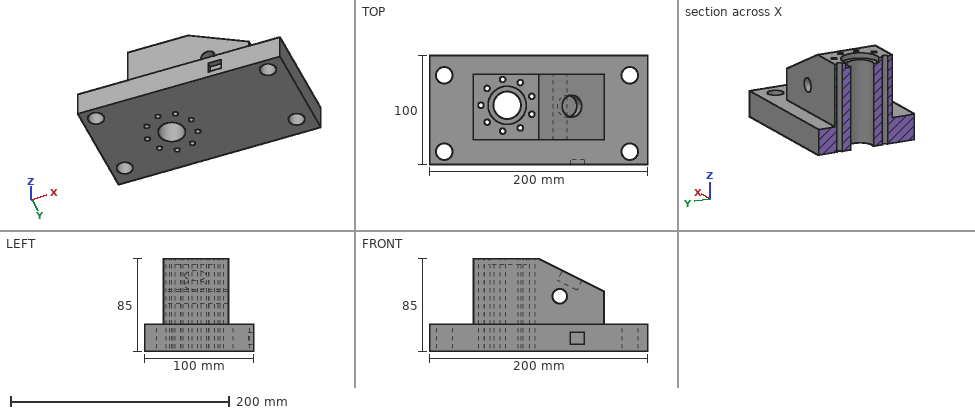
import cadquery as cq
import math

plate_length = 200.0
plate_width = 100.0
plate_thickness = 25.0

mount_diameter = 15.0
mount_spacing_x = 170.0
mount_spacing_y = 70.0
mount_centre = (-1.6, -3.15)

block_length = 120.0
block_width = 60.0
block_height = 60.0
block_centre_y = 3.0
slope_run = block_length / 2
slope_drop = 30.0

bore_centre = (-28.95, 4.37)
bore_diameter = 25.0
counterbore_diameter = 35.0
counterbore_depth = 5.0
ring_hole_count = 9
ring_hole_diameter = 5.0
ring_radius = 24.0

slope_hole_diameter = 20.0
slope_hole_depth = 10.0
slope_hole_centre_x = 30.35
slope_hole_centre_y = 3.6

cross_hole_diameter = 13.19
cross_hole_x = 19.2
cross_hole_z = 50.55

pocket_length = 13.0
pocket_height = 11.0
pocket_depth = 5.0
pocket_centre_x = 35.4
pocket_centre_z = 12.0

total_height = plate_thickness + block_height
block_end_x = block_length / 2
slope_start_x = block_end_x - slope_run
block_front_y = block_centre_y - block_width / 2
plate_front_y = -plate_width / 2


def base_plate():
    return cq.Workplane("XY").box(plate_length, plate_width, plate_thickness, centered=(True, True, False))


def sloped_block():
    profile = [
        (-block_end_x, plate_thickness),
        (block_end_x, plate_thickness),
        (block_end_x, total_height - slope_drop),
        (slope_start_x, total_height),
        (-block_end_x, total_height),
    ]
    return (
        cq.Workplane("XZ", origin=(0, block_front_y, 0))
        .polyline(profile)
        .close()
        .extrude(-block_width)
    )


def mounting_holes():
    return (
        cq.Workplane("XY")
        .center(*mount_centre)
        .rarray(mount_spacing_x, mount_spacing_y, 2, 2)
        .circle(mount_diameter / 2)
        .extrude(plate_thickness)
    )


def stepped_bore():
    bore = cq.Workplane("XY").center(*bore_centre).circle(bore_diameter / 2).extrude(total_height)
    counterbore = (
        cq.Workplane("XY", origin=(0, 0, total_height))
        .center(*bore_centre)
        .circle(counterbore_diameter / 2)
        .extrude(-counterbore_depth)
    )
    return bore.union(counterbore)


def ring_holes():
    return (
        cq.Workplane("XY")
        .center(*bore_centre)
        .polarArray(ring_radius, 180, 360, ring_hole_count)
        .circle(ring_hole_diameter / 2)
        .extrude(total_height)
    )


def slope_hole():
    slope_length = math.hypot(slope_run, slope_drop)
    inward = cq.Vector(-slope_drop / slope_length, 0, -slope_run / slope_length)
    mouth_z = total_height - (slope_hole_centre_x - slope_start_x) * slope_drop / slope_run
    mouth = cq.Vector(slope_hole_centre_x, slope_hole_centre_y, mouth_z)
    return cq.Solid.makeCylinder(slope_hole_diameter / 2, slope_hole_depth, mouth, inward)


def cross_hole():
    return (
        cq.Workplane("XZ", origin=(0, block_front_y, 0))
        .center(cross_hole_x, cross_hole_z)
        .circle(cross_hole_diameter / 2)
        .extrude(-block_width)
    )


def edge_pocket():
    return (
        cq.Workplane("XZ", origin=(0, plate_front_y, 0))
        .center(pocket_centre_x, pocket_centre_z)
        .rect(pocket_length, pocket_height)
        .extrude(-pocket_depth)
    )


result = base_plate().union(sloped_block())
for cutter in (mounting_holes(), stepped_bore(), ring_holes(), slope_hole(), cross_hole(), edge_pocket()):
    result = result.cut(cutter)